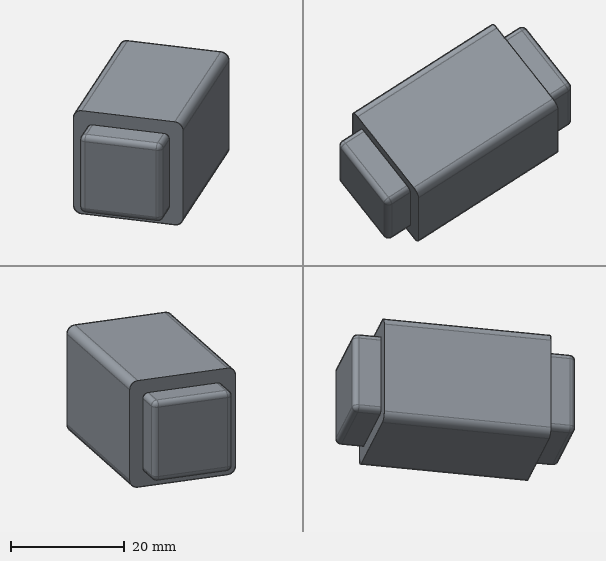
import cadquery as cq

total_length = 40.0
body_width = 20.0
body_length = 30.0
body_edge_radius = 1.5
core_width = 15.0
core_edge_radius = 1.0

body = (
    cq.Workplane("XY")
    .box(body_width, body_length, body_width)
    .edges("|Y")
    .fillet(body_edge_radius)
)

core = (
    cq.Workplane("XY")
    .box(core_width, total_length, core_width)
    .edges()
    .fillet(core_edge_radius)
)

result = body.union(core)